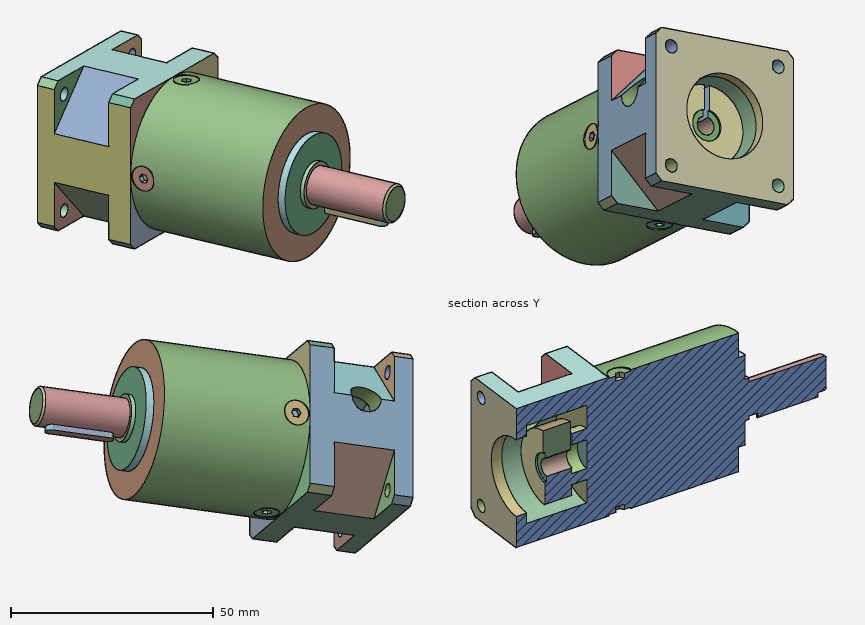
import cadquery as cq
import math

length = 92.5
width = 40.0
radius = width / 2

housing_end = 27.5
corner_chamfer = 1.8
pocket_start = 5.0
pocket_end = 21.0
pocket_edge = 6.5
bolt_hole_diameter = 3.4
bolt_pitch = 31.0

pilot_bore_radius = 11.0
pilot_bore_depth = 3.1
cavity_radius = 14.0
cavity_end = pocket_end
hub_start = 8.5
hub_flange_end = 16.65
hub_radius = 10.45
hub_neck_radius = 7.4
hub_recess_radius = 4.1
hub_recess_depth = 0.6
hub_bore_radius = 2.4
clamp_slot_width = 1.5
access_hole_x = 12.4
access_hole_radius = 3.9
access_hole_height = 6.6

body_end = 66.3
output_pilot_end = 68.4
output_pilot_radius = 12.95
collar_end = 69.5
collar_radius = 6.0
shaft_radius = 5.0
shaft_chamfer = 0.6

key_start = 72.0
key_length = 18.0
key_width = 3.0
key_height = 3.0
key_top = 6.3

plug_x = 31.0
plug_radius = 3.2
plug_face = 19.6
plug_count = 4
hex_across_flats = 2.1
hex_depth = 1.5


def cylinder_x(start, end, cylinder_radius):
    """Cylinder on the gearbox axis between two X positions."""
    return cq.Workplane("YZ", origin=(start, 0, 0)).circle(cylinder_radius).extrude(end - start)


def make_housing():
    """Square housing with chamfered corners, cut by a triangular pocket at each corner."""
    housing = (
        cq.Workplane("YZ")
        .rect(width, width)
        .extrude(housing_end)
        .edges("|X")
        .chamfer(corner_chamfer)
    )
    corner_pocket = (
        cq.Workplane("YZ", origin=(pocket_start, 0, 0))
        .moveTo(radius, pocket_edge)
        .lineTo(radius, radius)
        .lineTo(pocket_edge, radius)
        .close()
        .extrude(pocket_end - pocket_start)
    )
    for quarter in range(4):
        housing = housing.cut(corner_pocket.rotate((0, 0, 0), (1, 0, 0), 90 * quarter))
    bolt_holes = (
        cq.Workplane("YZ")
        .rect(bolt_pitch, bolt_pitch, forConstruction=True)
        .vertices()
        .circle(bolt_hole_diameter / 2)
        .extrude(pocket_start)
    )
    return housing.cut(bolt_holes)


def make_output():
    """Round body, output pilot, collar and shaft."""
    shaft = cylinder_x(collar_end, length, shaft_radius).faces(">X").chamfer(shaft_chamfer)
    return (
        cylinder_x(housing_end, body_end, radius)
        .union(cylinder_x(body_end, output_pilot_end, output_pilot_radius))
        .union(cylinder_x(output_pilot_end, collar_end, collar_radius))
        .union(shaft)
    )


def make_key():
    """Round-ended key standing proud of the shaft."""
    return (
        cq.Workplane("XY", origin=(key_start + key_length / 2, 0, -key_top))
        .slot2D(key_length, key_width)
        .extrude(key_height)
    )


def make_cavity():
    """Pilot bore, the wider cavity behind it and the clamp screw access hole from +Y."""
    access_hole = (
        cq.Workplane("XZ", origin=(access_hole_x, 0, access_hole_height))
        .circle(access_hole_radius)
        .extrude(-radius)
    )
    return (
        cylinder_x(0, pilot_bore_depth, pilot_bore_radius)
        .union(cylinder_x(pilot_bore_depth, cavity_end, cavity_radius))
        .union(access_hole)
    )


def make_clamp_hub():
    """Clamp hub: a slotted flange in front of a hollow neck on the cavity floor."""
    recess_end = hub_start + hub_recess_depth
    slot = cq.Workplane("XY", origin=(hub_start, 0, 0)).box(
        hub_flange_end - hub_start, clamp_slot_width, hub_radius, centered=(False, True, False)
    )
    flange = (
        cylinder_x(hub_start, hub_flange_end, hub_radius)
        .cut(cylinder_x(hub_start, recess_end, hub_recess_radius))
        .cut(cylinder_x(recess_end, hub_flange_end, hub_bore_radius))
        .cut(slot)
    )
    neck = cylinder_x(hub_flange_end, cavity_end, hub_neck_radius)
    neck_bore = cylinder_x(hub_flange_end, cavity_end, hub_recess_radius)
    return flange.union(neck.cut(neck_bore))


def make_plug_recess():
    """Recess down to a flat plug face, with a hexagon socket in the middle."""
    hex_across_corners = hex_across_flats / math.cos(math.pi / 6)
    face_plane = cq.Workplane("XY", origin=(plug_x, 0, plug_face))
    face_recess = face_plane.circle(plug_radius).extrude(radius - plug_face)
    hex_socket = face_plane.polygon(6, hex_across_corners).extrude(-hex_depth)
    return face_recess.union(hex_socket)


result = make_housing().union(make_output()).union(make_key())
result = result.cut(make_cavity()).union(make_clamp_hub())
for plug_index in range(plug_count):
    plug_angle = plug_index * 360 / plug_count
    result = result.cut(make_plug_recess().rotate((0, 0, 0), (1, 0, 0), plug_angle))